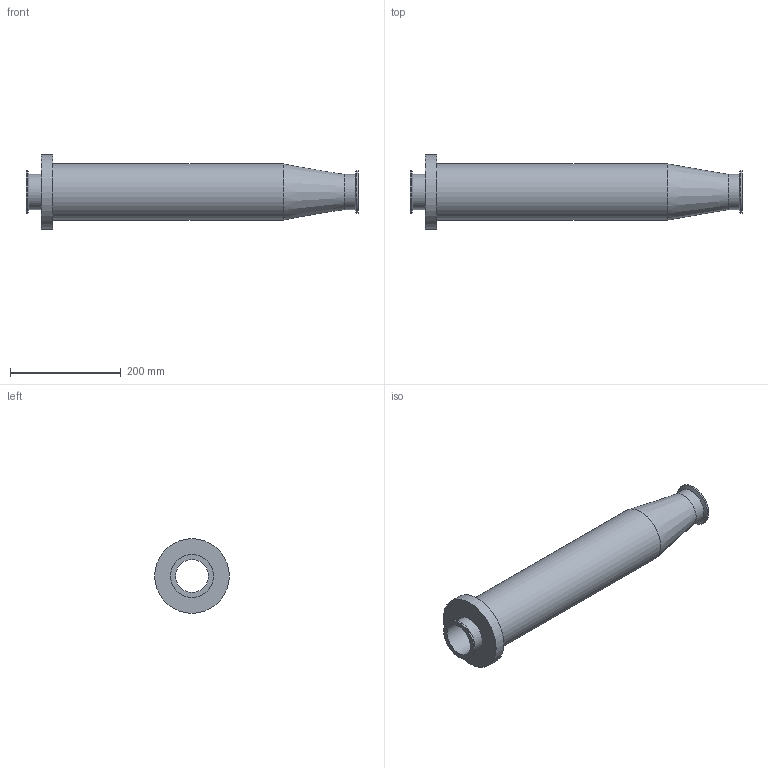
import cadquery as cq
import math

total_length = 600.0
inlet_end = -total_length / 2
outlet_end = total_length / 2

bore_diameter = 59.5
tube_diameter = 63.5
ferrule_diameter = 77.5
body_diameter = 101.6
flange_diameter = 135.0

inlet_length = 28.0
flange_thickness = 20.0
outlet_tube_length = 25.0
cone_length = 110.0

ferrule_rim = 2.85
ferrule_back_angle = 20.0
ferrule_step = (ferrule_diameter - tube_diameter) / 2
ferrule_depth = ferrule_rim + ferrule_step * math.tan(math.radians(ferrule_back_angle))

flange_front = inlet_end + inlet_length
flange_back = flange_front + flange_thickness
cone_end = outlet_end - outlet_tube_length
cone_start = cone_end - cone_length

bore_radius = bore_diameter / 2
tube_radius = tube_diameter / 2
ferrule_radius = ferrule_diameter / 2
body_radius = body_diameter / 2
flange_radius = flange_diameter / 2


def revolve_about_x(profile_points):
    """Revolve a closed (axial position, radius) outline about the X axis."""
    return cq.Workplane("XY").polyline(profile_points).close().revolve(360, (0, 0, 0), (1, 0, 0))


def make_cylinder(start, end, radius):
    return cq.Workplane("YZ").workplane(offset=start).circle(radius).extrude(end - start)


def make_ferrule(end, inward):
    """Clamp ferrule whose flat face lies at `end`; `inward` is the X sign toward the body."""
    return revolve_about_x([
        (end, 0),
        (end, ferrule_radius),
        (end + inward * ferrule_rim, ferrule_radius),
        (end + inward * ferrule_depth, tube_radius),
        (end + inward * ferrule_depth, 0),
    ])


def make_reducer():
    """Cone that narrows from the body to the outlet tube."""
    return revolve_about_x([
        (cone_start, 0),
        (cone_start, body_radius),
        (cone_end, tube_radius),
        (cone_end, 0),
    ])


inlet_tube = make_cylinder(inlet_end, flange_front, tube_radius)
flange = make_cylinder(flange_front, flange_back, flange_radius)
body = make_cylinder(flange_back, cone_start, body_radius)
outlet_tube = make_cylinder(cone_end, outlet_end, tube_radius)
bore = make_cylinder(inlet_end, outlet_end, bore_radius)

result = (
    flange
    .union(inlet_tube)
    .union(make_ferrule(inlet_end, 1))
    .union(body)
    .union(make_reducer())
    .union(outlet_tube)
    .union(make_ferrule(outlet_end, -1))
    .cut(bore)
)